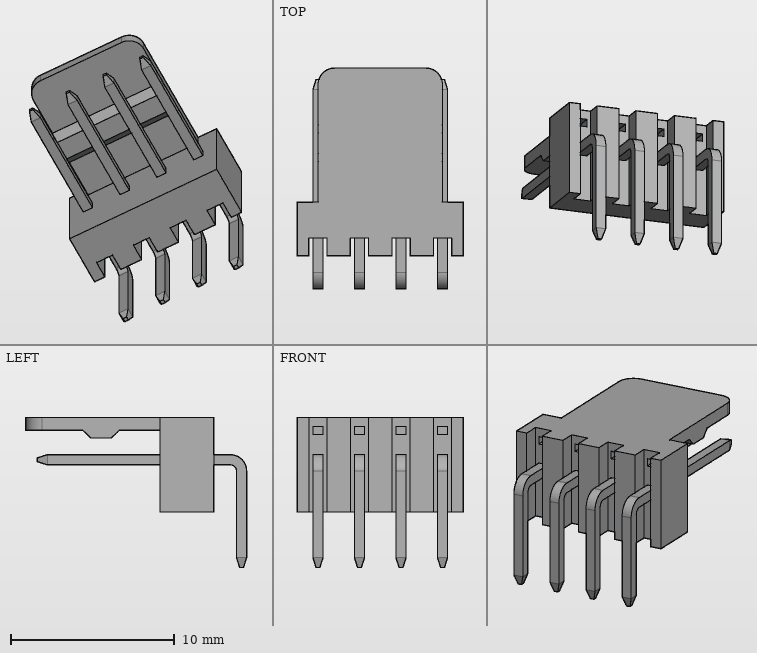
import cadquery as cq
import math


pin_count = 4
pitch = 2.54
pin_width = 0.635
pin_tip_width = 0.24
pin_tip_length = 0.62
bend_outer_radius = 1.0
bend_inner_radius = bend_outer_radius - pin_width
tail_length_below_housing = 3.4

housing_length = pin_count * pitch
housing_depth = 3.3
housing_height = 5.8

slot_width = 1.1
slot_depth = 1.1
pocket_width = pin_width
pocket_height = 0.48
pocket_depth = 1.0

tab_length = 8.2
tab_width = 7.6
tab_thickness = 0.8
tab_corner_radius = 1.0
ridge_height = 0.48
ridge_start_from_housing = 2.48
ridge_base_length = 2.23
ridge_crest_length = 1.25

pin_axis_below_top = 2.6
tail_axis_behind_housing = 1.7
mating_end_setback = 0.7
pin_axis_z = housing_height - pin_axis_below_top
tail_axis_y = -tail_axis_behind_housing
tail_end_z = -tail_length_below_housing
tab_end_y = housing_depth + tab_length
tab_underside_z = housing_height - tab_thickness
mating_end_y = tab_end_y - mating_end_setback
pin_positions = [(i - (pin_count - 1) / 2) * pitch for i in range(pin_count)]


def make_housing():
    return cq.Workplane("XY").box(
        housing_length, housing_depth, housing_height, centered=(True, False, False)
    )


def make_slot(x):
    return cq.Workplane("XY").box(
        slot_width, slot_depth, housing_height, centered=(True, False, False)
    ).translate((x, 0, 0))


def make_pocket(x):
    """Blind rectangular pocket in a slot floor, centred on the level of the tab underside."""
    return cq.Workplane("XY").box(
        pocket_width, pocket_depth, pocket_height, centered=(True, False, True)
    ).translate((x, slot_depth, tab_underside_z))


def make_tab():
    plate = (
        cq.Workplane("XY")
        .box(tab_width, tab_length, tab_thickness, centered=(True, False, False))
        .edges("|Z and >Y")
        .fillet(tab_corner_radius)
    )
    return plate.translate((0, housing_depth, tab_underside_z))


def make_ridge():
    """Trapezoidal latch ridge running across the underside of the tab."""
    base_start = housing_depth + ridge_start_from_housing
    base_end = base_start + ridge_base_length
    flank_run = (ridge_base_length - ridge_crest_length) / 2
    crest_z = tab_underside_z - ridge_height
    return (
        cq.Workplane("YZ")
        .moveTo(base_start, tab_underside_z)
        .lineTo(base_start + flank_run, crest_z)
        .lineTo(base_end - flank_run, crest_z)
        .lineTo(base_end, tab_underside_z)
        .close()
        .extrude(tab_width / 2, both=True)
    )


def make_tip(plane):
    """Square taper from the full pin section down to the blunt end."""
    return (
        cq.Workplane(plane)
        .rect(pin_width, pin_width)
        .workplane(offset=pin_tip_length)
        .rect(pin_tip_width, pin_tip_width)
        .loft(ruled=True)
    )


def make_pin(x):
    half_width = pin_width / 2
    top_z = pin_axis_z + half_width
    bottom_z = pin_axis_z - half_width
    outer_y = tail_axis_y - half_width
    inner_y = tail_axis_y + half_width
    mating_taper_y = mating_end_y - pin_tip_length
    tail_taper_z = tail_end_z + pin_tip_length
    bend_y = outer_y + bend_outer_radius
    bend_z = top_z - bend_outer_radius
    outer_mid_offset = bend_outer_radius * math.sqrt(0.5)
    inner_mid_offset = bend_inner_radius * math.sqrt(0.5)

    shank = (
        cq.Workplane("YZ")
        .moveTo(mating_taper_y, top_z)
        .lineTo(bend_y, top_z)
        .threePointArc(
            (bend_y - outer_mid_offset, bend_z + outer_mid_offset),
            (outer_y, bend_z),
        )
        .lineTo(outer_y, tail_taper_z)
        .lineTo(inner_y, tail_taper_z)
        .lineTo(inner_y, bend_z)
        .threePointArc(
            (bend_y - inner_mid_offset, bend_z + inner_mid_offset),
            (bend_y, bottom_z),
        )
        .lineTo(mating_taper_y, bottom_z)
        .close()
        .extrude(half_width, both=True)
    )
    mating_plane = cq.Plane(origin=(0, mating_taper_y, pin_axis_z), xDir=(1, 0, 0), normal=(0, 1, 0))
    tail_plane = cq.Plane(origin=(0, tail_axis_y, tail_taper_z), xDir=(1, 0, 0), normal=(0, 0, -1))
    pin = shank.union(make_tip(mating_plane)).union(make_tip(tail_plane))
    return pin.translate((x, 0, 0))


result = make_housing().union(make_tab()).union(make_ridge())
for pin_x in pin_positions:
    result = result.cut(make_slot(pin_x))
    result = result.cut(make_pocket(pin_x))
for pin_x in pin_positions:
    result = result.union(make_pin(pin_x))